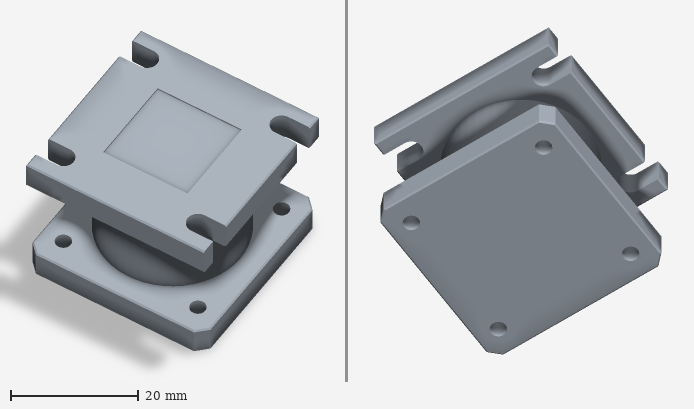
import cadquery as cq

side = 33.32
height = 25.4
plate_thickness = 5.05
column_diameter = 25.4
edge_chamfer = 0.25

corner_chamfer = 1.85
hole_diameter = 2.73
hole_x = 12.6
hole_y = 12.13

slot_width = 3.8
recess_side = 15.75
recess_depth = 0.25

top_plate_bottom = height - plate_thickness
hole_points = [(sx * hole_x, sy * hole_y) for sx in (-1, 1) for sy in (-1, 1)]


def square_plate(bottom):
    """Square plate centred on Z with its underside at the given height."""
    return cq.Workplane("XY").workplane(offset=bottom).rect(side, side).extrude(plate_thickness)


def base_plate():
    """Plate with cut corners, chamfered rims and four through holes."""
    plate = square_plate(0).edges("|Z").chamfer(corner_chamfer)
    plate = plate.faces("<Z or >Z").edges().chamfer(edge_chamfer)
    holes = cq.Workplane("XY").pushPoints(hole_points).circle(hole_diameter / 2).extrude(plate_thickness)
    return plate.cut(holes)


def side_slot(x, y):
    """Round-ended slot cutter running from above a base hole out through the nearest X side."""
    outer_x = side / 2 if x > 0 else -side / 2
    level = cq.Workplane("XY").workplane(offset=top_plate_bottom)
    round_end = level.center(x, y).circle(slot_width / 2).extrude(plate_thickness)
    channel = level.center((x + outer_x) / 2, y).rect(abs(outer_x - x), slot_width).extrude(plate_thickness)
    return round_end.union(channel)


def square_finger_end():
    """Tip of the +X, -Y finger, chamfered along its outer -Y edges but square on its +X end."""
    length = 2 * edge_chamfer
    width = side / 2 - hole_y - slot_width / 2
    tip = cq.Workplane("XY").box(length, width, plate_thickness, centered=False)
    tip = tip.faces("<Y").edges("|X").chamfer(edge_chamfer)
    return tip.translate((side / 2 - length, -side / 2, top_plate_bottom))


def top_plate():
    """Plate with chamfered rims, one square finger end, four open slots and a shallow square recess."""
    plate = square_plate(top_plate_bottom).faces("<Z or >Z").edges().chamfer(edge_chamfer)
    for x, y in hole_points:
        plate = plate.cut(side_slot(x, y))
    plate = plate.union(square_finger_end())
    recess = (
        cq.Workplane("XY")
        .workplane(offset=height - recess_depth)
        .rect(recess_side, recess_side)
        .extrude(recess_depth)
    )
    return plate.cut(recess)


column = (
    cq.Workplane("XY")
    .workplane(offset=plate_thickness)
    .circle(column_diameter / 2)
    .extrude(height - 2 * plate_thickness)
)

result = base_plate().union(column).union(top_plate())